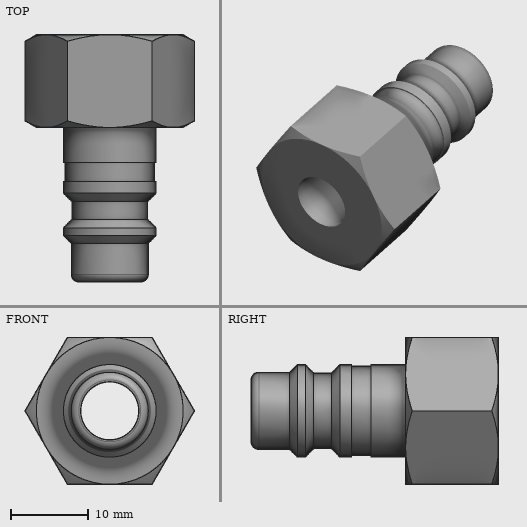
import cadquery as cq
import math

total_length = 32.0
hex_across_flats = 19.0
hex_length = 12.0
bore_diameter = 7.5

tip_diameter = 10.0
collar_diameter = 12.0
groove_diameter = 9.8
relief_diameter = 11.6

front_cone_start = 5.0
collar_start = 6.0
collar_end = 7.0
groove_start = 8.1
groove_end = 10.4
rear_cone_end = 11.5
relief_start = 13.0
relief_end = 15.5
hex_start = total_length - hex_length

tip_fillet = 1.0
tip_face_diameter = tip_diameter - 2 * tip_fillet
hex_chamfer_angle = 30.0
hex_across_corners = hex_across_flats / math.cos(math.radians(30))
hex_chamfer_radial = (hex_across_corners - hex_across_flats) / 2
hex_chamfer_length = hex_chamfer_radial * math.tan(math.radians(hex_chamfer_angle))


def revolve_profile(profile):
    """Turn a closed XY profile (radius, axial position) about the Y axis."""
    return profile.close().revolve(360, (0, 0, 0), (0, 1, 0))


def make_plug():
    """Stepped plug with a rounded tip, a locking collar and a groove."""
    tip_radius = tip_diameter / 2
    collar_radius = collar_diameter / 2
    groove_radius = groove_diameter / 2
    relief_radius = relief_diameter / 2
    arc_offset = tip_fillet * (1 - math.sqrt(0.5))
    profile = (
        cq.Workplane("XY")
        .lineTo(tip_face_diameter / 2, 0)
        .threePointArc((tip_radius - arc_offset, arc_offset), (tip_radius, tip_fillet))
        .lineTo(tip_radius, front_cone_start)
        .lineTo(collar_radius, collar_start)
        .lineTo(collar_radius, collar_end)
        .lineTo(groove_radius, groove_start)
        .lineTo(groove_radius, groove_end)
        .lineTo(collar_radius, rear_cone_end)
        .lineTo(collar_radius, relief_start)
        .lineTo(relief_radius, relief_start)
        .lineTo(relief_radius, relief_end)
        .lineTo(collar_radius, relief_end)
        .lineTo(collar_radius, hex_start)
        .lineTo(0, hex_start)
    )
    return revolve_profile(profile)


def make_hex():
    """Hexagon with corners on the X axis, chamfered conically at both ends."""
    prism = (
        cq.Workplane("XZ", origin=(0, total_length, 0))
        .polygon(6, hex_across_corners)
        .extrude(hex_length)
    )
    flat_radius = hex_across_flats / 2
    corner_radius = hex_across_corners / 2
    envelope = (
        cq.Workplane("XY")
        .moveTo(0, hex_start)
        .lineTo(flat_radius, hex_start)
        .lineTo(corner_radius, hex_start + hex_chamfer_length)
        .lineTo(corner_radius, total_length - hex_chamfer_length)
        .lineTo(flat_radius, total_length)
        .lineTo(0, total_length)
    )
    return prism.intersect(revolve_profile(envelope))


bore = (
    cq.Workplane("XZ", origin=(0, total_length, 0))
    .circle(bore_diameter / 2)
    .extrude(total_length)
)

result = make_plug().union(make_hex()).cut(bore)